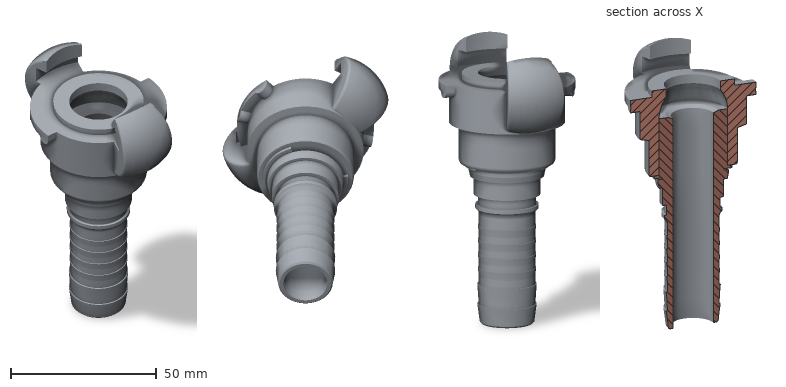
import cadquery as cq
import math


HEAD_BOTTOM_Z = 56.7
HUB_TOP_Z = 70.0
SHOULDER_Z = 70.7
FLANGE_BOTTOM_Z = 82.8
FLANGE_TOP_Z = 85.7
SEAL_TOP_Z = 88.0
HUB_DIAMETER = 33.2
DRUM_DIAMETER = 39.9
FLANGE_DIAMETER = 47.0
SEAL_DIAMETER = 31.1
SEAL_BORE_DIAMETER = 20.0
SEAL_LIP_Z = 84.8
HUB_EDGE_WIDTH = 0.5
HUB_EDGE_HEIGHT = 1.2

LOBE_END_OFFSET = 2.5
CATCH_RADIUS = 2.4
CATCH_BOTTOM_Z = 81.0
CATCH_SPACING = 35.0
HALF_TURNS = (0, 180)

CLAW_RADIUS = 13.7
CLAW_SPAN = 63.0
CLAW_REACH = CLAW_SPAN / 2
CLAW_CENTRE_Z = 84.4
CLAW_CROWN_RADIUS = 21.0
CLAW_INNER_X = 14.7
CLAW_SIDE_ANGLE = 17.5
CLAW_SIDE_OFFSET = 1.4
CLAW_EDGE_FILLET = 1.0
CLAW_TIP_RADIUS = 21.1
CLAW_SLOT_RADIUS = 25.5
CLAW_SLOT_TOP_Z = 91.5
CLAW_FILLET_END_X = 21.5

STEM_TOP_Z = 77.5
STEM_TOP_DIAMETER = 25.5
BORE_DIAMETER = 15.0
BORE_MOUTH_DIAMETER = 19.0
BORE_MOUTH_DEPTH = 0.8
NECK_DIAMETER = 23.0
STOP_TOP_Z = 55.3
STOP_TAPER_Z = 53.9
STOP_BOTTOM_Z = 51.9
STOP_DIAMETER = 26.4
STOP_BOTTOM_DIAMETER = 25.5
NECK_BOTTOM_Z = 45.4
GROOVE_DIAMETER = 20.0
COLLAR_TOP_Z = 41.9
COLLAR_BOTTOM_Z = 40.5
COLLAR_DIAMETER = 21.8
COLLAR_FILLET_BOTTOM_Z = 38.1
ROOT_DIAMETER = 19.4
SMALL_BARB_DIAMETER = 20.0
SMALL_BARB_TOP_Z = 34.5
SMALL_BARB_LENGTH = 2.6
SMALL_BARB_PITCH = 5.0
SMALL_BARB_COUNT = 4
LARGE_BARB_DIAMETER = 20.4
UPPER_BARB_TOP_Z = 13.9
LOWER_BARB_TOP_Z = 6.8
TIP_DIAMETER = 18.8
TIP_CHAMFER = 0.6

RING_DIAMETER = 29.3
RING_BOTTOM_Z = 55.6
RING_GAP_START = 111.0
RING_GAP_END = 216.0


def disc(diameter, bottom_z, top_z):
    """Round plate on the coupling axis between two heights."""
    return cq.Workplane("XY").workplane(offset=bottom_z).circle(diameter / 2).extrude(top_z - bottom_z)


def tangent_radius(width, height):
    """Radius of an arc that starts parallel to Z and spans the given width and height."""
    return (width**2 + height**2) / (2 * width)


def head_core():
    """Hub, conical shoulder, drum and raised seal face, without the bore."""
    hub_r = HUB_DIAMETER / 2
    drum_r = DRUM_DIAMETER / 2
    seal_r = SEAL_DIAMETER / 2
    edge_r = tangent_radius(HUB_EDGE_WIDTH, HUB_EDGE_HEIGHT)
    return (
        cq.Workplane("XZ")
        .moveTo(0, HEAD_BOTTOM_Z)
        .lineTo(hub_r - HUB_EDGE_WIDTH, HEAD_BOTTOM_Z)
        .radiusArc((hub_r, HEAD_BOTTOM_Z + HUB_EDGE_HEIGHT), -edge_r)
        .lineTo(hub_r, HUB_TOP_Z)
        .lineTo(drum_r, SHOULDER_Z)
        .lineTo(drum_r, FLANGE_TOP_Z)
        .lineTo(seal_r, FLANGE_TOP_Z)
        .lineTo(seal_r, SEAL_TOP_Z)
        .lineTo(0, SEAL_TOP_Z)
        .close()
        .revolve(360, (0, 0, 0), (0, 1, 0))
    )


def head_bore():
    """Seat of the stem, narrowing above it in a dome up to the lip of the seal."""
    lip_r = SEAL_BORE_DIAMETER / 2
    seat_r = STEM_TOP_DIAMETER / 2
    dome_width = seat_r - lip_r
    dome_height = SEAL_LIP_Z - STEM_TOP_Z
    dome_r = tangent_radius(dome_width, dome_height)
    return (
        cq.Workplane("XZ")
        .moveTo(0, HEAD_BOTTOM_Z)
        .lineTo(seat_r, HEAD_BOTTOM_Z)
        .lineTo(seat_r, STEM_TOP_Z)
        .radiusArc((lip_r, SEAL_LIP_Z), -dome_r)
        .lineTo(lip_r, SEAL_TOP_Z)
        .lineTo(0, SEAL_TOP_Z)
        .close()
        .revolve(360, (0, 0, 0), (0, 1, 0))
    )


def catch(angle, x_offset):
    """Round bar along -Y turned about Z, reaching past the flange rim."""
    return (
        cq.Workplane("XZ")
        .center(x_offset, CATCH_BOTTOM_Z + CATCH_RADIUS)
        .circle(CATCH_RADIUS)
        .extrude(FLANGE_DIAMETER / 2 + CATCH_RADIUS)
        .rotate((0, 0, 0), (0, 0, 1), angle)
    )


def flange_lobe():
    """Quarter of the flange over the -X -Y side, with two catches below, one rounding off its end."""
    flange_r = FLANGE_DIAMETER / 2
    catch_x = LOBE_END_OFFSET - CATCH_RADIUS
    catch_z = CATCH_BOTTOM_Z + CATCH_RADIUS
    plate = (
        cq.Workplane("XZ")
        .moveTo(-flange_r, FLANGE_TOP_Z)
        .lineTo(LOBE_END_OFFSET, FLANGE_TOP_Z)
        .lineTo(LOBE_END_OFFSET, catch_z)
        .lineTo(catch_x, catch_z)
        .lineTo(catch_x, FLANGE_BOTTOM_Z)
        .lineTo(-flange_r, FLANGE_BOTTOM_Z)
        .close()
        .extrude(flange_r)
    )
    lobe = plate.union(catch(0, catch_x)).union(catch(-CATCH_SPACING, 0))
    return lobe.intersect(disc(FLANGE_DIAMETER, CATCH_BOTTOM_Z, FLANGE_TOP_Z))


def claw():
    """Claw on the -X side: a barrel-shaped block with tapered sides, hollowed by the slot."""
    centre_x = CLAW_RADIUS - CLAW_REACH
    side_slope = math.tan(math.radians(CLAW_SIDE_ANGLE))
    inner_y = CLAW_SIDE_OFFSET + CLAW_INNER_X * side_slope
    outer_y = CLAW_SIDE_OFFSET + CLAW_REACH * side_slope
    rim_r = CLAW_RADIUS - CLAW_CROWN_RADIUS + math.sqrt(CLAW_CROWN_RADIUS**2 - outer_y**2)
    barrel = (
        cq.Workplane("XY")
        .workplane(offset=CLAW_CENTRE_Z)
        .moveTo(centre_x, -outer_y)
        .lineTo(centre_x - rim_r, -outer_y)
        .threePointArc((-CLAW_REACH, 0), (centre_x - rim_r, outer_y))
        .lineTo(centre_x, outer_y)
        .close()
        .revolve(360, (centre_x, 0, 0), (centre_x, 1, 0))
    )
    wedge = (
        cq.Workplane("XY")
        .workplane(offset=CLAW_CENTRE_Z - CLAW_RADIUS)
        .moveTo(-CLAW_INNER_X, -inner_y)
        .lineTo(-CLAW_REACH, -outer_y)
        .lineTo(-CLAW_REACH, outer_y)
        .lineTo(-CLAW_INNER_X, inner_y)
        .close()
        .extrude(2 * CLAW_RADIUS)
    )
    sharp = barrel.intersect(wedge)
    tip_zone = (
        cq.Workplane("XY")
        .box(CLAW_FILLET_END_X, 2 * outer_y, CLAW_RADIUS, centered=(False, True, False))
        .translate((-CLAW_FILLET_END_X, 0, CLAW_CENTRE_Z))
    )
    rounded = sharp.faces("<X").edges("not(|Z)").fillet(CLAW_EDGE_FILLET)
    block = rounded.union(sharp.intersect(tip_zone))
    slot = disc(2 * CLAW_SLOT_RADIUS, FLANGE_TOP_Z, CLAW_SLOT_TOP_Z)
    mouth = disc(2 * CLAW_TIP_RADIUS, FLANGE_TOP_Z, CLAW_CENTRE_Z + CLAW_RADIUS)
    return block.cut(slot).cut(mouth)


def build_head():
    """Core with a flange lobe and a claw on each side, bored for the stem."""
    head = head_core()
    for angle in HALF_TURNS:
        for feature in (flange_lobe(), claw()):
            head = head.union(feature.rotate((0, 0, 0), (0, 0, 1), angle))
    return head.cut(head_bore())


def stem_profile():
    """Outer outline of the stem from its top down to its tip, closed along the axis."""
    root_r = ROOT_DIAMETER / 2
    small_r = SMALL_BARB_DIAMETER / 2
    large_r = LARGE_BARB_DIAMETER / 2
    tip_r = TIP_DIAMETER / 2
    neck_r = NECK_DIAMETER / 2
    groove_r = GROOVE_DIAMETER / 2
    collar_r = COLLAR_DIAMETER / 2
    outline = (
        cq.Workplane("XZ")
        .moveTo(0, STEM_TOP_Z)
        .lineTo(STEM_TOP_DIAMETER / 2, STEM_TOP_Z)
        .lineTo(STEM_TOP_DIAMETER / 2, HEAD_BOTTOM_Z)
        .lineTo(neck_r, HEAD_BOTTOM_Z)
        .lineTo(neck_r, STOP_TOP_Z)
        .lineTo(STOP_DIAMETER / 2, STOP_TOP_Z)
        .lineTo(STOP_DIAMETER / 2, STOP_TAPER_Z)
        .lineTo(STOP_BOTTOM_DIAMETER / 2, STOP_BOTTOM_Z)
        .lineTo(neck_r, STOP_BOTTOM_Z)
        .lineTo(neck_r, NECK_BOTTOM_Z)
        .lineTo(groove_r, NECK_BOTTOM_Z)
        .lineTo(groove_r, COLLAR_TOP_Z)
        .lineTo(collar_r, COLLAR_TOP_Z)
        .lineTo(collar_r, COLLAR_BOTTOM_Z)
        .radiusArc((root_r, COLLAR_FILLET_BOTTOM_Z), -(COLLAR_BOTTOM_Z - COLLAR_FILLET_BOTTOM_Z))
    )
    for index in range(SMALL_BARB_COUNT):
        barb_top = SMALL_BARB_TOP_Z - index * SMALL_BARB_PITCH
        outline = (
            outline.lineTo(root_r, barb_top)
            .lineTo(small_r, barb_top)
            .lineTo(root_r, barb_top - SMALL_BARB_LENGTH)
        )
    return (
        outline.lineTo(root_r, UPPER_BARB_TOP_Z)
        .lineTo(large_r, UPPER_BARB_TOP_Z)
        .lineTo(root_r, LOWER_BARB_TOP_Z)
        .lineTo(large_r, LOWER_BARB_TOP_Z)
        .lineTo(tip_r, TIP_CHAMFER)
        .lineTo(tip_r - TIP_CHAMFER, 0)
        .lineTo(0, 0)
        .close()
    )


def stem_bore():
    """Through bore with a conical mouth at the top."""
    bore_r = BORE_DIAMETER / 2
    return (
        cq.Workplane("XZ")
        .lineTo(bore_r, 0)
        .lineTo(bore_r, STEM_TOP_Z - BORE_MOUTH_DEPTH)
        .lineTo(BORE_MOUTH_DIAMETER / 2, STEM_TOP_Z)
        .lineTo(0, STEM_TOP_Z)
        .close()
        .revolve(360, (0, 0, 0), (0, 1, 0))
    )


def retaining_ring():
    """Open ring around the neck, directly below the head."""
    def rim_point(radius, degrees):
        angle = math.radians(degrees)
        return (radius * math.cos(angle), radius * math.sin(angle))

    inner_r = NECK_DIAMETER / 2
    outer_r = RING_DIAMETER / 2
    gap_opposite = (RING_GAP_START + RING_GAP_END) / 2 + 180
    return (
        cq.Workplane("XY")
        .workplane(offset=RING_BOTTOM_Z)
        .moveTo(*rim_point(inner_r, RING_GAP_END))
        .lineTo(*rim_point(outer_r, RING_GAP_END))
        .threePointArc(rim_point(outer_r, gap_opposite), rim_point(outer_r, RING_GAP_START))
        .lineTo(*rim_point(inner_r, RING_GAP_START))
        .threePointArc(rim_point(inner_r, gap_opposite), rim_point(inner_r, RING_GAP_END))
        .close()
        .extrude(HEAD_BOTTOM_Z - RING_BOTTOM_Z)
    )


def build_stem():
    """Turned hose stem with the retaining ring in its neck, bored through."""
    body = stem_profile().revolve(360, (0, 0, 0), (0, 1, 0))
    return body.union(retaining_ring()).cut(stem_bore())


head = build_head()
stem = build_stem()
result = cq.Compound.makeCompound([head.val(), stem.val()])